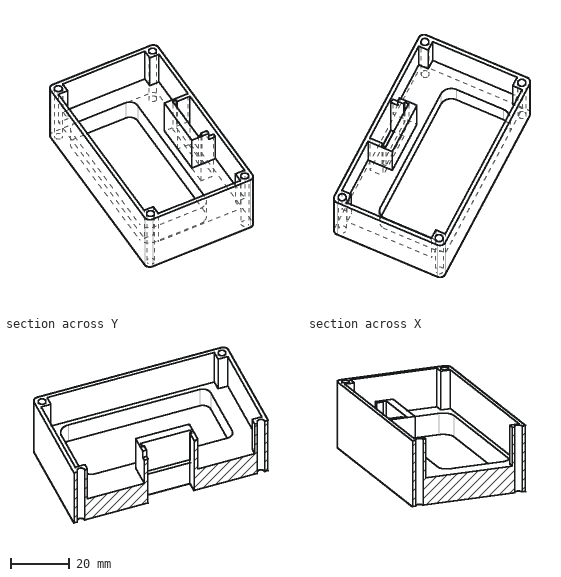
import cadquery as cq

length = 71.4
width = 42.0
height = 23.9
wall = 1.4
corner_radius = 2.0
floor_top = 9.9

post_size = 5
hole_diameter = 2.7
hole_inset = 2.65

pocket_length = 55.25
pocket_front = -17.9
pocket_back = 7.9
pocket_floor = 2.2
pocket_left_radius = 3.0
pocket_right_radius = 4.0

holder_length = 19.7
holder_front = 10.35
holder_wall = 1.4
window_front = 14.65
slot_overhang = 0.7
slot_width = 1.4
notch_front = 17.0
notch_depth = 3.0

inner_back = width / 2 - wall
window_length = holder_length - 2 * holder_wall


def block(x_range, y_range, z_range):
    """Box spanning the given lower and upper limits."""
    (x0, x1), (y0, y1), (z0, z1) = x_range, y_range, z_range
    return cq.Workplane("XY").box(x1 - x0, y1 - y0, z1 - z0, centered=False).translate((x0, y0, z0))


def make_shell():
    """Open box with a thick floor and a square screw post in each corner."""
    body = cq.Workplane("XY").box(length, width, height, centered=(True, True, False))
    body = body.edges("|Z").fillet(corner_radius)
    cavity = (
        cq.Workplane("XY", origin=(0, 0, floor_top))
        .rect(length - 2 * wall, width - 2 * wall)
        .extrude(height - floor_top)
    )
    posts = (
        cq.Workplane("XY", origin=(0, 0, floor_top))
        .rect(length - post_size, width - post_size, forConstruction=True)
        .vertices()
        .rect(post_size, post_size)
        .extrude(height - floor_top)
    )
    return body.cut(cavity.cut(posts))


def make_screw_holes():
    return (
        cq.Workplane("XY")
        .rect(length - 2 * hole_inset, width - 2 * hole_inset, forConstruction=True)
        .vertices()
        .circle(hole_diameter / 2)
        .extrude(height)
    )


def make_pocket():
    half = pocket_length / 2
    pocket = block((-half, half), (pocket_front, pocket_back), (pocket_floor, floor_top))
    pocket = pocket.edges("|Z and <X").fillet(pocket_left_radius)
    return pocket.edges("|Z and >X").fillet(pocket_right_radius)


def make_holder():
    half = holder_length / 2
    return block((-half, half), (holder_front, inner_back), (floor_top, height))


def make_holder_openings():
    """Through window, shallower slot along its front, and a notch in the right wall."""
    half_window = window_length / 2
    half_slot = half_window + slot_overhang
    window = block((-half_window, half_window), (window_front, inner_back), (0, height))
    slot = block((-half_slot, half_slot), (window_front - slot_width, window_front), (floor_top, height))
    notch = block((half_window, holder_length / 2), (notch_front, inner_back), (height - notch_depth, height))
    return window.union(slot).union(notch)


result = (
    make_shell()
    .union(make_holder())
    .cut(make_holder_openings())
    .cut(make_pocket())
    .cut(make_screw_holes())
)